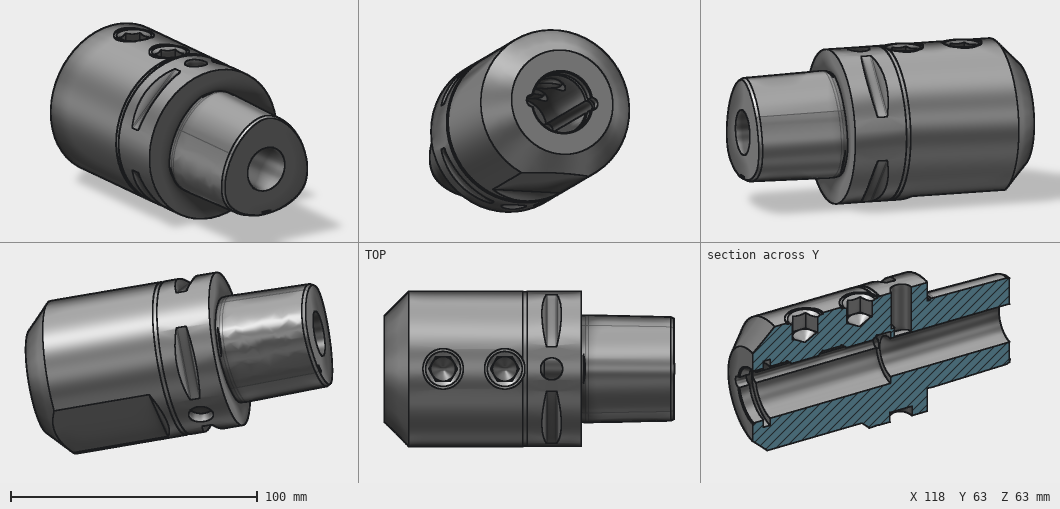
import cadquery as cq
import math


BODY_DIAMETER = 63.0
BODY_LENGTH = 80.0
BODY_RADIUS = BODY_DIAMETER / 2
NOSE_CHAMFER = 10.0
MARK_GROOVE_DIAMETER = 62.7
MARK_GROOVE_START = 56.3
MARK_GROOVE_WIDTH = 1.8

FLAT_HEIGHT = 28.1
FLAT_LENGTH = 50.0

BORE_DIAMETER = 25.0
BORE_RADIUS = BORE_DIAMETER / 2
BORE_DEPTH = 63.0
BORE_CHAMFER = 0.5
BORE_GROOVE_DIAMETER = 32.0
BORE_GROOVE_START = 5.0
BORE_GROOVE_WIDTH = 3.0
THROUGH_DIAMETER = 18.4

CHANNEL_DIAMETER = 5.1
DRILL_POINT_ANGLE = 118

SCREW_POSITIONS = (24.0, 49.0)
SCREW_DIAMETER = 16.4
SCREW_RADIUS = SCREW_DIAMETER / 2
SCREW_TOP = 30.8
SCREW_TIP = 10.9
SCREW_TIP_DIAMETER = 12.3
SOCKET_RIM_DIAMETER = 14.2
SOCKET_WIDTH = 10.0
HEX_SIDES = 6
HEX_ANGLE = 180 / HEX_SIDES
SOCKET_DEPTH = 8.3
SOCKET_RIM_SLOPE = 30

COLLAR_CENTER = 68.0
SLOT_FLOOR_RADIUS = 27.7
SLOT_FLOOR_WIDTH = 4.1
SLOT_MOUTH_WIDTH = 7.9
SLOT_FILLET = 0.5
SLOT_COUNT = 4
INDEX_HOLE_DIAMETER = 9.0
BORE_WALL_DIAMETER = 28.0
BORE_WALL_END = 65.0
THROUGH_WALL_DIAMETER = 19.6
CHIP_HOLE_DIAMETER = 10.0
CHIP_HOLE_DEPTH = 4.6

SHANK_RADIUS = 21.8
LOBE_HEIGHT = 1.3
LOBE_COUNT = 3
NECK_LENGTH = 1.7
NECK_REDUCTION = 0.18
LAND_LENGTH = 1.2
TAPER_REDUCTION = 0.7
END_CHAMFER_LENGTH = 1.4
END_CHAMFER_DEPTH = 0.7
SHANK_END = 117.6
RELIEF_RADIUS = 22.4

KEY_END = 118.0
KEY_WIDTH = 4.0
KEY_HEIGHT = 1.0
KEY_RADIUS = 18.9

POINTS_PER_LOBE = 13


def cylinder_x(diameter, start, end):
    """Cylinder on the tool axis."""
    return cq.Workplane("YZ", origin=(start, 0, 0)).circle(diameter / 2).extrude(end - start)


def cylinder_z(diameter, x, bottom, top):
    """Upright cylinder centred over the tool axis."""
    return cq.Workplane("XY", origin=(x, 0, bottom)).circle(diameter / 2).extrude(top - bottom)


def revolve_x(profile):
    """Revolve (x, radius) points around the tool axis."""
    return cq.Workplane("XY").polyline(profile).close().revolve(360, (0, 0, 0), (1, 0, 0))


def inverted_cone(x, top, radius, depth):
    """Cone centred over the tool axis with its tip pointing down."""
    return (
        cq.Workplane("XZ")
        .polyline([(0, top), (radius, top), (0, top - depth)])
        .close()
        .revolve(360, (0, 0, 0), (0, 1, 0))
        .translate((x, 0, 0))
    )


def drill_point_depth(radius):
    """Depth of the cone that a drill leaves at the end of its hole."""
    return radius / math.tan(math.radians(DRILL_POINT_ANGLE / 2))


def make_body():
    body = cylinder_x(BODY_DIAMETER, 0, BODY_LENGTH).faces("<X").chamfer(NOSE_CHAMFER)
    groove_end = MARK_GROOVE_START + MARK_GROOVE_WIDTH
    ring = cylinder_x(BODY_DIAMETER, MARK_GROOVE_START, groove_end)
    ring = ring.cut(cylinder_x(MARK_GROOVE_DIAMETER, MARK_GROOVE_START, groove_end))
    ramp = BODY_RADIUS - FLAT_HEIGHT
    flat = (
        cq.Workplane("XZ")
        .polyline([
            (0, -FLAT_HEIGHT),
            (FLAT_LENGTH, -FLAT_HEIGHT),
            (FLAT_LENGTH + ramp, -BODY_RADIUS),
            (0, -BODY_RADIUS),
        ])
        .close()
        .extrude(BODY_RADIUS, both=True)
    )
    return body.cut(ring).cut(flat)


def lobe_point(x, radius, angle):
    """Point on the constant-width outline; angle 0 is the middle of the low side facing -Z."""
    e = LOBE_HEIGHT
    y = radius * math.sin(angle) + 2 * e * math.sin(2 * angle) + e * math.sin(4 * angle)
    z = -radius * math.cos(angle) + 2 * e * math.cos(2 * angle) - e * math.cos(4 * angle)
    return cq.Vector(x, y, z)


def lobed_wire(x, radius):
    pitch = 2 * math.pi / LOBE_COUNT
    edges = []
    for lobe in range(LOBE_COUNT):
        start = lobe * pitch
        angles = [start + pitch * i / (POINTS_PER_LOBE - 1) for i in range(POINTS_PER_LOBE)]
        tangents = [cq.Vector(0, math.cos(a), math.sin(a)) for a in (angles[0], angles[-1])]
        points = [lobe_point(x, radius, a) for a in angles]
        edges.append(cq.Edge.makeSpline(points, tangents=tangents))
    return cq.Wire.assembleEdges(edges)


def make_shank():
    land_start = BODY_LENGTH + NECK_LENGTH
    taper_end_radius = SHANK_RADIUS - TAPER_REDUCTION
    sections = [
        (BODY_LENGTH, SHANK_RADIUS - NECK_REDUCTION),
        (land_start, SHANK_RADIUS),
        (land_start + LAND_LENGTH, SHANK_RADIUS),
        (SHANK_END - END_CHAMFER_LENGTH, taper_end_radius),
        (SHANK_END, taper_end_radius - END_CHAMFER_DEPTH),
    ]
    wires = [lobed_wire(x, radius) for x, radius in sections]
    shank = cq.Workplane(cq.Solid.makeLoft(wires, True))

    lobe_radius = SHANK_RADIUS + LOBE_HEIGHT
    rise = lobe_radius - RELIEF_RADIUS
    relief = revolve_x([
        (BODY_LENGTH, RELIEF_RADIUS),
        (land_start - rise, RELIEF_RADIUS),
        (land_start, lobe_radius),
        (BODY_LENGTH, lobe_radius),
    ])
    return shank.cut(relief)


def make_key():
    length = KEY_END - SHANK_END + END_CHAMFER_LENGTH
    return (
        cq.Workplane("XY")
        .box(length, KEY_WIDTH, KEY_HEIGHT, centered=(False, True, False))
        .translate((KEY_END - length, 0, -KEY_RADIUS))
        .edges("<Z and >X")
        .chamfer(END_CHAMFER_DEPTH)
    )


def make_bore():
    groove_end = BORE_GROOVE_START + BORE_GROOVE_WIDTH
    bore = cylinder_x(BORE_DIAMETER, 0, BORE_DEPTH)
    mouth = revolve_x([
        (0, 0),
        (0, BORE_RADIUS + BORE_CHAMFER),
        (BORE_CHAMFER, BORE_RADIUS),
        (BORE_CHAMFER, 0),
    ])
    groove = cylinder_x(BORE_GROOVE_DIAMETER, BORE_GROOVE_START, groove_end)
    through = cylinder_x(THROUGH_DIAMETER, 0, KEY_END)
    return bore.union(mouth).union(groove).union(through)


def make_channel(side):
    """Drilled channel half sunk into the bore wall, with a conical end."""
    radius = CHANNEL_DIAMETER / 2
    point = drill_point_depth(radius)
    profile = [(0, 0), (0, radius), (BORE_DEPTH, radius), (BORE_DEPTH + point, 0)]
    return revolve_x(profile).translate((0, side * BORE_RADIUS, 0))


def make_screw(x):
    """Clamping screw with a coned tip that reaches into the bore."""
    tip_radius = SCREW_TIP_DIAMETER / 2
    rim_radius = SOCKET_RIM_DIAMETER / 2
    hex_radius = SOCKET_WIDTH / 2
    screw = cylinder_z(SCREW_DIAMETER, x, SCREW_TIP, SCREW_TOP)
    screw = screw.faces("<Z").chamfer(SCREW_RADIUS - tip_radius)

    socket_floor = SCREW_TOP - SOCKET_DEPTH
    point = drill_point_depth(hex_radius)
    rim_depth = rim_radius * math.tan(math.radians(SOCKET_RIM_SLOPE))
    hexagon = (
        cq.Workplane("XY", origin=(x, 0, socket_floor))
        .transformed(rotate=(0, 0, HEX_ANGLE))
        .polygon(HEX_SIDES, SOCKET_WIDTH, circumscribed=True)
        .extrude(SOCKET_DEPTH)
    )
    countersink = inverted_cone(x, SCREW_TOP, rim_radius, rim_depth)
    drill_point = inverted_cone(x, socket_floor, hex_radius, point)
    return screw.cut(hexagon).cut(countersink).cut(drill_point)


def make_slot(angle):
    """Flared gripper slot with a flat floor, turned around the tool axis."""
    floor = SLOT_FLOOR_WIDTH / 2
    mouth = SLOT_MOUTH_WIDTH / 2
    return (
        cq.Workplane("XZ", origin=(COLLAR_CENTER, 0, 0))
        .polyline([
            (-floor, SLOT_FLOOR_RADIUS),
            (floor, SLOT_FLOOR_RADIUS),
            (mouth, BODY_RADIUS),
            (-mouth, BODY_RADIUS),
        ])
        .close()
        .extrude(BODY_RADIUS, both=True)
        .edges("<Z and |Y")
        .fillet(SLOT_FILLET)
        .rotate((0, 0, 0), (1, 0, 0), angle)
    )


def make_index_hole():
    """Radial hole that stops at the round walls left around the bore and the through hole."""
    hole = cylinder_z(INDEX_HOLE_DIAMETER, COLLAR_CENTER, 0, BODY_RADIUS)
    bore_wall = cylinder_x(BORE_WALL_DIAMETER, 0, BORE_WALL_END)
    through_wall = cylinder_x(THROUGH_WALL_DIAMETER, BORE_WALL_END, BODY_LENGTH)
    return hole.cut(bore_wall).cut(through_wall)


result = make_body().union(make_shank()).union(make_key())
result = result.cut(make_bore())
for side in (-1, 1):
    result = result.cut(make_channel(side))

for screw_x in SCREW_POSITIONS:
    result = result.cut(cylinder_z(SCREW_DIAMETER, screw_x, 0, BODY_RADIUS))
    result = result.union(make_screw(screw_x))

slot_pitch = 360 / SLOT_COUNT
for index in range(SLOT_COUNT):
    result = result.cut(make_slot((index + 0.5) * slot_pitch))

result = result.cut(make_index_hole())
chip_hole_top = CHIP_HOLE_DEPTH - BODY_RADIUS
result = result.cut(cylinder_z(CHIP_HOLE_DIAMETER, COLLAR_CENTER, -BODY_RADIUS, chip_hole_top))